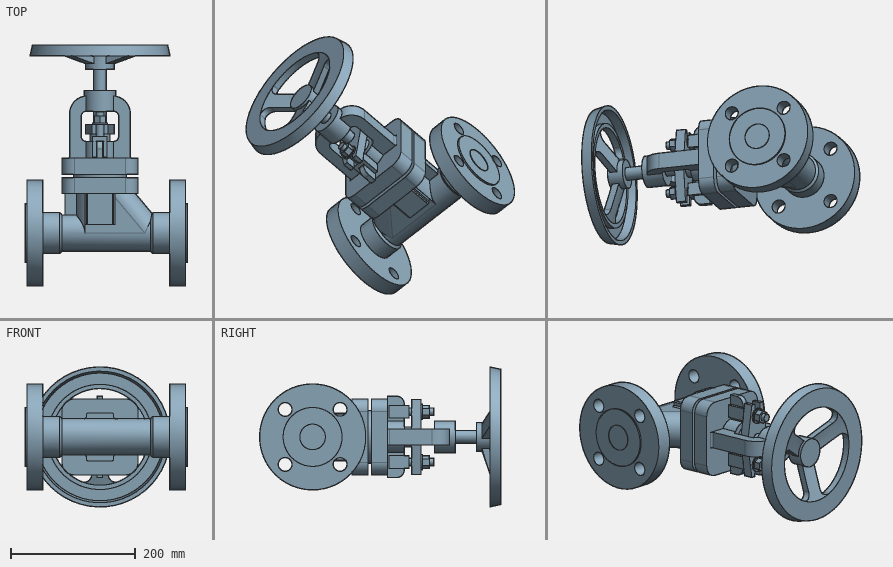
import cadquery as cq
import math

overall_length = 260.0
overall_height = 387.0
stem_x = -10.0

flange_radius = 85.0
flange_thickness = 26.0
raised_face_height = 2.7
raised_face_radius = 47.2
bore_radius = 20.5
bore_recess = 0.8
bolt_circle_radius = 62.5
bolt_hole_radius = 11.0
bolt_hole_count = 4
first_bolt_angle = 45
pipe_radius = 58.5 / 2
collar_radius = 66.0 / 2
collar_inner_x = 74.5
collar_taper = 4.0

body_flange_bottom = 63.0
neck_radius = 38.0
branch_foot_x = 62.0
branch_angle = math.radians(50)
back_rib_reach = 56.0
back_rib_thickness = 11.5
pad_bottom = 14.0
pad_half_width = 21.5
pad_top_z = 38.7
pad_foot = 2.5
pad_chamfer = 2.0

square_flange_width = 122.3
square_flange_corner = 20.0
square_flange_thickness = 26.0
gasket_radius = 42.5
gasket_thickness = 5.0
bonnet_flange_bottom = body_flange_bottom + square_flange_thickness + gasket_thickness
bonnet_top = bonnet_flange_bottom + square_flange_thickness

yoke_half_width = 48.8
yoke_thickness = 26.0
yoke_shoulder_radius = 28.3
yoke_top = 220.0
yoke_foot_fillet = 3.0
window_half_width = 29.8
window_bottom = 147.0
window_top = 195.0
window_corner = 7.7
boss_radius = 25.5
boss_top = 228.7

follower_radius = 16.3
gland_bottom = 158.5
gland_top = 174.0
gland_half_length = 60.5
gland_half_width = 23.2
gland_tip_half_width = 13.0
bolt_z = 40.2
bolt_radius = 6.0
bolt_top = 194.3
washer_radius = 12.5
washer_thickness = 2.5
nut_radius = 10.5
nut_height = 11.0
fork_bottom = 122.3
fork_top = 154.8
fork_half_width = 11.5
fork_depth = 20.5
fork_slot_half_width = 5.8
fork_slot_top = 148.0
lug_thickness = 9.0
lug_reach = 65.5
lug_corner = 12.5

stem_radius = 10.5
wheel_top = overall_height - flange_radius
wheel_thickness = 17.8
wheel_bottom = wheel_top - wheel_thickness
wheel_outer_radius = 225.0 / 2
wheel_taper = 4.0
rim_wall = 7.0
rim_floor_thickness = 3.5
lip_outer_radius = 84.5
lip_inner_radius = 77.5
hub_radius = 23.2
hub_bottom = 262.5
hub_top = 288.0
spoke_start = 271.5
spoke_rise_per_radius = 0.34
spoke_thickness = 11.5
spoke_half_width = 13.5
spoke_corner = 11.5
window_angles = (30, 150, 270)


def rod(radius, y_start, y_end, z=0.0):
    """Cylinder parallel to Y, centred on the stem plane."""
    return cq.Workplane(cq.Solid.makeCylinder(
        radius, y_end - y_start, cq.Vector(stem_x, y_start, z), cq.Vector(0, 1, 0)))


def block(half_width, y_start, y_end, z_start, z_end):
    """Box centred in X on the stem, given by its Y and Z limits."""
    return cq.Workplane("XY").box(
        2 * half_width, y_end - y_start, z_end - z_start, centered=(True, False, False)
    ).translate((stem_x, y_start, z_start))


def plan_plate(outline, y_start, y_end):
    """Plate lying across the stem: outline X stays X, outline Y becomes -Z, thickness runs along Y."""
    return outline(cq.Workplane("XY")).extrude(y_end - y_start).rotate(
        (0, 0, 0), (1, 0, 0), -90).translate((stem_x, y_start, 0))


def make_pipe():
    half = overall_length / 2
    face_x = half - raised_face_height
    back_x = face_x - flange_thickness
    taper_x = collar_inner_x - collar_taper
    half_profile = [
        (taper_x, pipe_radius),
        (collar_inner_x, collar_radius),
        (back_x, collar_radius),
        (back_x, flange_radius),
        (face_x, flange_radius),
        (face_x, raised_face_radius),
        (half, raised_face_radius),
        (half, bore_radius),
        (half - bore_recess, bore_radius),
        (half - bore_recess, 0),
    ]
    mirrored = [(-x, r) for x, r in reversed(half_profile)]
    pipe = cq.Workplane("XY").polyline(mirrored + half_profile).close().revolve(
        360, (0, 0, 0), (1, 0, 0))
    holes = cq.Workplane("YZ").polarArray(
        bolt_circle_radius, first_bolt_angle, 360, bolt_hole_count)
    return pipe.cut(holes.circle(bolt_hole_radius).extrude(half, both=True))


def make_body():
    run = body_flange_bottom / math.tan(branch_angle)
    branch_top_x = branch_foot_x - run
    web = cq.Workplane("XY").polyline([
        (stem_x, 0),
        (branch_foot_x, 0),
        (branch_top_x, body_flange_bottom),
        (stem_x, body_flange_bottom),
    ]).close().extrude(pipe_radius, both=True)

    branch_direction = cq.Vector(-math.cos(branch_angle), math.sin(branch_angle), 0)
    branch = cq.Workplane(cq.Solid.makeCylinder(
        pipe_radius, overall_length, cq.Vector(branch_foot_x, 0, 0) - branch_direction * pipe_radius,
        branch_direction))
    branch_limit = cq.Workplane("XY").box(
        overall_length, body_flange_bottom, 2 * pipe_radius, centered=(False, False, True)
    ).translate((stem_x, 0, 0))

    neck = rod(neck_radius, 0, body_flange_bottom).intersect(
        block(neck_radius, 0, body_flange_bottom, -pipe_radius, pipe_radius))
    back_rib = cq.Workplane("XY").box(
        back_rib_reach, body_flange_bottom, back_rib_thickness, centered=(False, False, True)
    ).translate((stem_x - back_rib_reach, 0, 0))
    return neck.union(web).union(branch.intersect(branch_limit)).union(back_rib)


def make_pads():
    """Raised pads on both flat cheeks of the neck."""
    half_outline = [
        (pad_half_width + pad_foot, 0),
        (pad_half_width + pad_foot, pipe_radius),
        (pad_half_width, pipe_radius + pad_foot),
        (pad_half_width, pad_top_z - pad_chamfer),
        (pad_half_width - pad_chamfer, pad_top_z),
    ]
    outline = half_outline + [(-x, z) for x, z in reversed(half_outline)]
    pad = plan_plate(lambda w: w.polyline(outline).close(), pad_bottom, body_flange_bottom)
    return pad.union(pad.mirror("XY"))


def make_square_flange(y_start):
    flange = plan_plate(lambda w: w.rect(square_flange_width, square_flange_width),
                        y_start, y_start + square_flange_thickness)
    return flange.edges("|Y").fillet(square_flange_corner)


def make_yoke():
    yoke = block(yoke_half_width, bonnet_top, yoke_top, -yoke_thickness / 2, yoke_thickness / 2)
    yoke = yoke.edges("|Z and >Y").fillet(yoke_shoulder_radius)
    window = block(window_half_width, window_bottom, window_top, -yoke_thickness, yoke_thickness)
    yoke = yoke.cut(window.edges("|Z").fillet(window_corner))
    for side in (-1, 1):
        corner_x = stem_x + side * yoke_half_width
        foot = cq.Workplane("XY").moveTo(corner_x, bonnet_top).lineTo(
            corner_x + side * yoke_foot_fillet, bonnet_top).radiusArc(
            (corner_x, bonnet_top + yoke_foot_fillet), side * yoke_foot_fillet).close()
        yoke = yoke.union(foot.extrude(yoke_thickness / 2, both=True))
    stuffing_box = rod(boss_radius, bonnet_top, window_bottom)
    boss = rod(boss_radius, window_top, boss_top)
    return yoke.union(stuffing_box).union(boss)


def make_gland():
    outline = [
        (gland_tip_half_width, -gland_half_length),
        (gland_half_width, 0),
        (gland_tip_half_width, gland_half_length),
        (-gland_tip_half_width, gland_half_length),
        (-gland_half_width, 0),
        (-gland_tip_half_width, -gland_half_length),
    ]
    plate = plan_plate(lambda w: w.polyline(outline).close(), gland_bottom, gland_top)
    slot = block(bolt_radius, gland_bottom, gland_top, bolt_z, gland_half_length)
    plate = plate.cut(slot).cut(slot.mirror("XY"))
    return plate.union(rod(follower_radius, window_bottom, gland_bottom))


def make_swing_bolt():
    """Lug on the bonnet, fork straddling it, and the bolt with washer and nut, on the +Z side."""
    lug = block(lug_thickness / 2, bonnet_top, window_bottom, 0, lug_reach)
    lug = lug.edges("|X and >Y and >Z").fillet(lug_corner)
    fork_start = bolt_z - fork_depth / 2
    fork_end = bolt_z + fork_depth / 2
    fork = block(fork_half_width, fork_bottom, fork_top, fork_start, fork_end)
    fork = fork.cut(block(fork_slot_half_width, fork_bottom, fork_slot_top, fork_start, fork_end))
    washer_top = gland_top + washer_thickness
    bolt = rod(bolt_radius, fork_slot_top, bolt_top, bolt_z)
    washer = rod(washer_radius, gland_top, washer_top, bolt_z)
    nut = plan_plate(lambda w: w.polygon(6, 2 * nut_radius), washer_top, washer_top + nut_height)
    nut = nut.rotate((stem_x, 0, 0), (stem_x, 1, 0), 30).translate((0, 0, bolt_z))
    return lug.union(fork).union(bolt).union(washer).union(nut)


def around_stem(points):
    """Revolve a closed radius-and-height outline about the stem."""
    outline = [(stem_x + radius, y) for radius, y in points]
    return cq.Workplane("XY").polyline(outline).close().revolve(360, (stem_x, 0, 0), (stem_x, 1, 0))


def make_spoke_window():
    """Opening between two spokes that stand 60 degrees either side of +X."""
    apex = spoke_half_width / math.sin(math.radians(60))
    corner_angle = math.radians(60) - math.asin(spoke_half_width / lip_inner_radius)
    corner_x = lip_inner_radius * math.cos(corner_angle)
    corner_y = lip_inner_radius * math.sin(corner_angle)
    window = plan_plate(
        lambda w: w.moveTo(apex, 0).lineTo(corner_x, -corner_y).threePointArc(
            (lip_inner_radius, 0), (corner_x, corner_y)).close(),
        hub_bottom, wheel_top)
    return window.edges("|Y").edges(">X").fillet(spoke_corner)


def make_handwheel():
    def spoke_underside(radius):
        return spoke_start + spoke_rise_per_radius * (radius - hub_radius)

    floor_y = wheel_top - rim_floor_thickness
    wall_inner_bottom = wheel_outer_radius - rim_wall
    wall_slope = wheel_taper / wheel_thickness
    wall_inner_floor = wall_inner_bottom - wall_slope * (floor_y - wheel_bottom)
    lip_bottom = spoke_underside(lip_inner_radius)
    rim = around_stem([
        (lip_inner_radius, lip_bottom),
        (lip_outer_radius, lip_bottom),
        (lip_outer_radius, floor_y),
        (wall_inner_floor, floor_y),
        (wall_inner_bottom, wheel_bottom),
        (wheel_outer_radius, wheel_bottom),
        (wheel_outer_radius - wheel_taper, wheel_top),
        (lip_inner_radius, wheel_top),
    ])
    inner_y = spoke_underside(0)
    dish = around_stem([
        (0, inner_y),
        (lip_inner_radius, lip_bottom),
        (lip_inner_radius, lip_bottom + spoke_thickness),
        (0, inner_y + spoke_thickness),
    ])
    window = make_spoke_window()
    for angle in window_angles:
        dish = dish.cut(window.rotate((stem_x, 0, 0), (stem_x, 1, 0), angle))
    hub = rod(hub_radius, hub_bottom, hub_top)
    return rim.union(dish).union(hub)


result = make_pipe().union(make_body()).union(make_pads())
result = result.union(make_square_flange(body_flange_bottom))
result = result.union(rod(gasket_radius, body_flange_bottom, bonnet_top))
result = result.union(make_square_flange(bonnet_flange_bottom))
result = result.union(make_yoke()).union(make_gland())
swing_bolt = make_swing_bolt()
result = result.union(swing_bolt).union(swing_bolt.mirror("XY"))
result = result.union(rod(stem_radius, bonnet_top, hub_top)).union(make_handwheel())